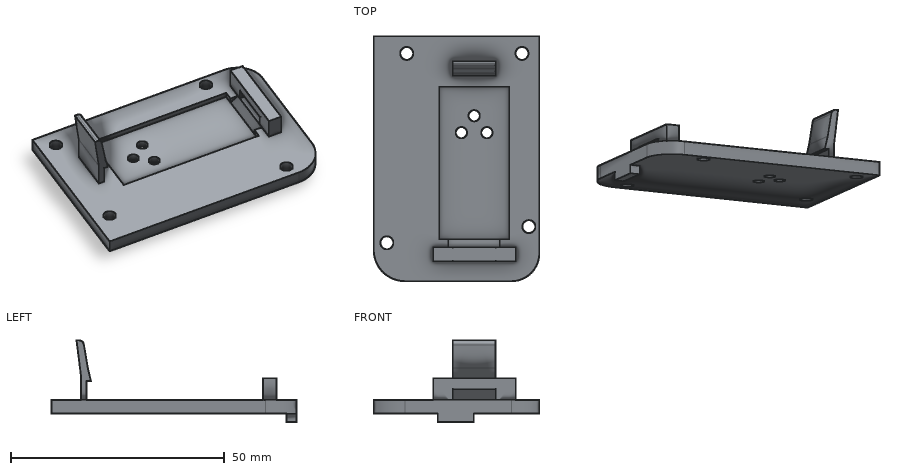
import cadquery as cq

plate_width = 38.8
plate_length = 57.4
plate_thickness = 3.2
left_corner_radius = 7.35
right_corner_radius = 6.55

mounting_hole_diameter = 3.0
mounting_hole_centers = [(7.75, 53.35), (34.75, 53.35), (36.35, 12.8), (3.1, 9.0)]
wire_hole_diameter = 2.6
wire_hole_pitch = 6.0
wire_hole_pair_y = 34.8
wire_hole_single_y = 38.75

pocket_center_x = 23.55
pocket_width = 16.35
pocket_front_y = 9.9
pocket_back_y = 45.6
pocket_depth = 1.3
ramp_width = 12.05

bridge_left_x = 13.95
bridge_width = 19.35
bridge_front_y = 4.7
bridge_thickness = 3.2
bridge_height = 5.05
bridge_back_y = bridge_front_y + bridge_thickness
opening_width = 10.1
opening_height = 2.5

tab_left_x = 15.0
tab_width = 8.5
tab_length = 2.4
tab_height = 2.0

clip_width = opening_width
clip_stem_front_y = 49.15
clip_stem_back_y = 50.55
clip_lip_y = 48.1
clip_lip_height = 4.35
clip_back_bend_height = 5.7
clip_front_bend_y = 48.85
clip_front_bend_height = 7.45
clip_top_front_y = 49.95
clip_top_back_y = 51.55
clip_height = 13.95
clip_tip_radius = 1.25


def block(left_x, front_y, bottom_z, width, length, height):
    """Box placed by its left, front, bottom corner."""
    return cq.Workplane("XY").box(width, length, height, centered=False).translate((left_x, front_y, bottom_z))


def side_profile(points, width):
    """Extrude a (Y, Z) outline along X, centred on the pocket."""
    profile = cq.Workplane("YZ").polyline(points).close().extrude(width)
    return profile.translate((pocket_center_x - width / 2, 0, 0))


def hole_cutters(centers, diameter):
    return cq.Workplane("XY").pushPoints(centers).circle(diameter / 2).extrude(plate_thickness)


def make_plate():
    plate = block(0, 0, 0, plate_width, plate_length, plate_thickness)
    plate = plate.edges("|Z and <X and <Y").fillet(left_corner_radius)
    return plate.edges("|Z and >X and <Y").fillet(right_corner_radius)


def make_pocket():
    return block(
        pocket_center_x - pocket_width / 2,
        pocket_front_y,
        plate_thickness - pocket_depth,
        pocket_width,
        pocket_back_y - pocket_front_y,
        pocket_depth,
    )


def make_ramp():
    """Wedge falling from the bridge's back face to the pocket floor."""
    points = [
        (bridge_back_y, plate_thickness),
        (pocket_front_y, plate_thickness),
        (pocket_front_y, plate_thickness - pocket_depth),
    ]
    return side_profile(points, ramp_width)


def make_bridge():
    bridge = block(
        bridge_left_x, bridge_front_y, plate_thickness, bridge_width, bridge_thickness, bridge_height
    )
    opening = block(
        pocket_center_x - opening_width / 2,
        bridge_front_y,
        plate_thickness,
        opening_width,
        bridge_thickness,
        opening_height,
    )
    return bridge.cut(opening)


def make_clip():
    points = [
        (clip_stem_back_y, 0),
        (clip_stem_front_y, 0),
        (clip_stem_front_y, clip_lip_height),
        (clip_lip_y, clip_lip_height),
        (clip_front_bend_y, clip_front_bend_height),
        (clip_top_front_y, clip_height),
        (clip_top_back_y, clip_height),
        (clip_stem_back_y, clip_back_bend_height),
    ]
    clip = side_profile(points, clip_width)
    clip = clip.faces(">Z").edges("<Y").fillet(clip_tip_radius)
    return clip.translate((0, 0, plate_thickness))


wire_hole_centers = [
    (pocket_center_x - wire_hole_pitch / 2, wire_hole_pair_y),
    (pocket_center_x + wire_hole_pitch / 2, wire_hole_pair_y),
    (pocket_center_x, wire_hole_single_y),
]

tab = block(tab_left_x, 0, -tab_height, tab_width, tab_length, tab_height)

result = (
    make_plate()
    .cut(make_pocket())
    .cut(make_ramp())
    .cut(hole_cutters(mounting_hole_centers, mounting_hole_diameter))
    .cut(hole_cutters(wire_hole_centers, wire_hole_diameter))
    .union(make_bridge())
    .union(make_clip())
    .union(tab)
)